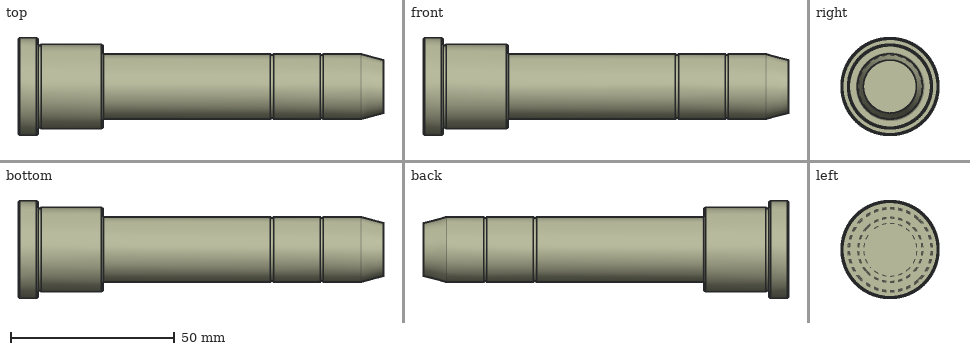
import cadquery as cq
import math

length = 112.0
head_radius = 30.0 / 2
collar_radius = 26.0 / 2
shaft_radius = 20.0 / 2

head_thickness = 6.0
collar_end = 26.0
edge_chamfer = 0.5
root_fillet = 0.3

taper_length = 7.0
taper_angle = math.radians(15)
tip_radius = shaft_radius - taper_length * math.tan(taper_angle)

groove_width = 1.0
groove_depth = 0.3
shaft_groove_starts = (77.3, 92.5)


def cylinder(start, end, radius):
    """Solid cylinder on the X axis between two positions."""
    return cq.Workplane("YZ", origin=(start, 0, 0)).circle(radius).extrude(end - start)


def ring_groove(start, surface_radius):
    """Ring to cut from a cylinder, rounded at the bottom."""
    outside = surface_radius + groove_depth
    return (
        cq.Workplane("XY")
        .moveTo(start, outside)
        .lineTo(start, surface_radius)
        .threePointArc(
            (start + groove_width / 2, surface_radius - groove_depth),
            (start + groove_width, surface_radius),
        )
        .lineTo(start + groove_width, outside)
        .close()
        .revolve(360, (0, 0, 0), (1, 0, 0))
    )


head = cylinder(0, head_thickness, head_radius).edges().chamfer(edge_chamfer)

collar = cylinder(head_thickness, collar_end, collar_radius).faces(">X").edges().chamfer(edge_chamfer)
collar = collar.cut(ring_groove(head_thickness, collar_radius))

shaft = (
    cq.Workplane("XY")
    .moveTo(collar_end, 0)
    .lineTo(collar_end, shaft_radius + root_fillet)
    .radiusArc((collar_end + root_fillet, shaft_radius), -root_fillet)
    .lineTo(length - taper_length, shaft_radius)
    .lineTo(length, tip_radius)
    .lineTo(length, 0)
    .close()
    .revolve(360, (0, 0, 0), (1, 0, 0))
)
for groove_start in shaft_groove_starts:
    shaft = shaft.cut(ring_groove(groove_start, shaft_radius))

pin = head.union(collar).union(shaft)

result = pin.translate((-length / 2, 0, 0))